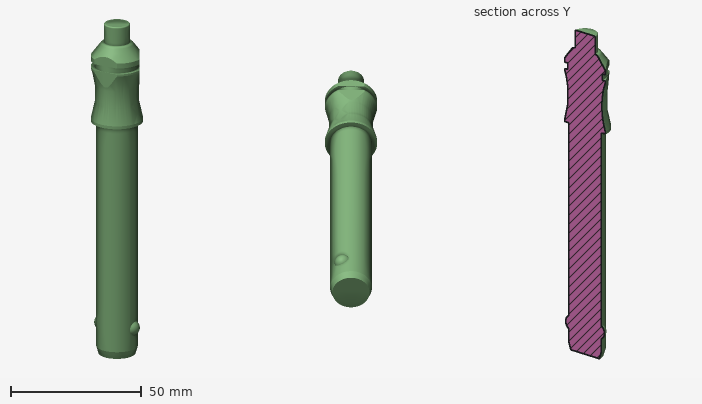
import cadquery as cq
import math

total_height = 133.5

shaft_radius = 8.0
tip_radius = 7.1
tip_taper_height = 3.0

handle_bottom_z = 94.0
handle_radius = 10.0
lower_rim_height = 1.2
waist_radius = 8.3
waist_length = 20.2
upper_rim_height = 0.8

groove_radius = 8.6
groove_width = 2.4

head_rim_height = 2.0
cone_half_angle = 37.0
cone_fillet = 1.5
head_height = 7.4

button_radius = 5.0
button_fillet = 0.5

flat_count = 3
first_flat_angle = -90.0
flat_chord_angle = 60.0
flat_distance = handle_radius * math.cos(math.radians(flat_chord_angle / 2))

ball_z = 11.3
ball_radius = 3.15
ball_reach = 9.6

waist_bottom_z = handle_bottom_z + lower_rim_height
waist_mid_z = waist_bottom_z + waist_length / 2
waist_top_z = waist_bottom_z + waist_length
groove_bottom_z = waist_top_z + upper_rim_height
groove_top_z = groove_bottom_z + groove_width
cone_bottom_z = groove_top_z + head_rim_height
head_top_z = groove_top_z + head_height

cone_top_radius = handle_radius - (head_top_z - cone_bottom_z) * math.tan(math.radians(cone_half_angle))


def make_handle():
    """Revolve the shaft, grip and head about Z and round the top of the cone."""
    profile = (
        cq.Workplane("XZ")
        .moveTo(0, 0)
        .lineTo(tip_radius, 0)
        .lineTo(shaft_radius, tip_taper_height)
        .lineTo(shaft_radius, handle_bottom_z)
        .lineTo(handle_radius, handle_bottom_z)
        .lineTo(handle_radius, waist_bottom_z)
        .threePointArc((waist_radius, waist_mid_z), (handle_radius, waist_top_z))
        .lineTo(handle_radius, groove_bottom_z)
        .lineTo(groove_radius, groove_bottom_z)
        .lineTo(groove_radius, groove_top_z)
        .lineTo(handle_radius, groove_top_z)
        .lineTo(handle_radius, cone_bottom_z)
        .lineTo(cone_top_radius, head_top_z)
        .lineTo(0, head_top_z)
        .close()
    )
    handle = profile.revolve(360, (0, 0, 0), (0, 1, 0))
    return handle.faces(">Z").edges().fillet(cone_fillet)


def make_button():
    """Round release button standing on the head, with a rounded top edge."""
    button = cq.Workplane("XY").workplane(offset=head_top_z).circle(button_radius)
    button = button.extrude(total_height - head_top_z)
    return button.faces(">Z").edges().fillet(button_fillet)


def make_flat_cutter(angle):
    """Block outside one flat, reaching from mid waist to the top of the head."""
    cutter = cq.Workplane("XY").workplane(offset=waist_mid_z).center(flat_distance, 0)
    cutter = cutter.box(
        handle_radius,
        2 * handle_radius,
        head_top_z - waist_mid_z,
        centered=(False, True, False),
    )
    return cutter.rotate((0, 0, 0), (0, 0, 1), angle)


def make_ball(side):
    """Locking ball on the +X (side = 1) or -X (side = -1) side."""
    ball_center_x = side * (ball_reach - ball_radius)
    return cq.Workplane("XY").sphere(ball_radius).translate((ball_center_x, 0, ball_z))


result = make_handle().union(make_button())

for index in range(flat_count):
    flat_angle = first_flat_angle + index * 360.0 / flat_count
    result = result.cut(make_flat_cutter(flat_angle))

for side in (-1, 1):
    result = result.union(make_ball(side))